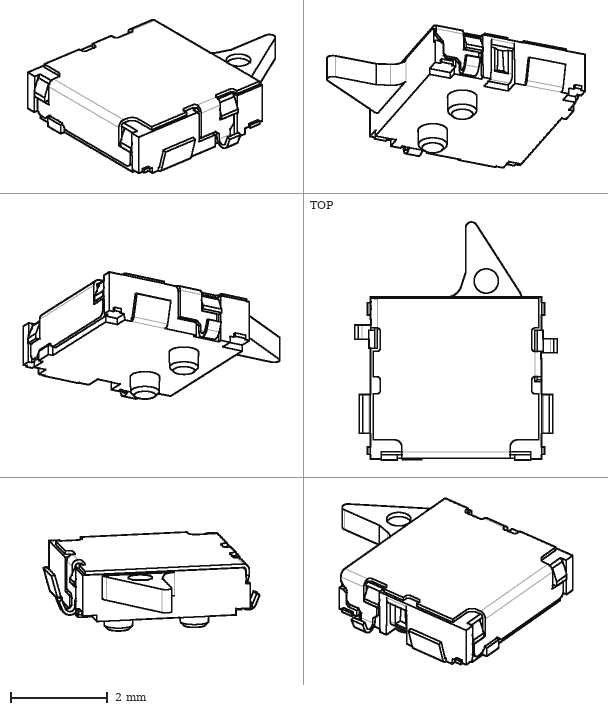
import cadquery as cq
import math


BODY_HALF_X = 1.77
BODY_Y = 3.35
BODY_Z = 0.995

RECESS_DEPTH = 0.09
RECESS_LEAD_DEPTH = 0.15
RECESS_LEAD_Z = 0.935
FRONT_RECESS_HALF_TOP = 1.545
FRONT_RECESS_HALF_BOTTOM = 1.565
LEFT_RECESS_Y0 = 2.295
RIGHT_RECESS_Y = (1.645, 2.665)
RIGHT_RECESS_LEAD_Y = 1.6
RECESS_LEDGE_Z = 0.28
RIGHT_LEDGE_Y = 2.075
BACK_BLOCK_Y = 3.16
BACK_BLOCK_TOP = 0.655
BACK_BLOCK_CHAMFER = (0.09, 0.055)
BACK_BLOCK_FOOT = (0.05, 0.06)

NOTCH_X = 0.3
NOTCH_Z = 0.135
FRONT_NOTCH_Y = 0.37
FRONT_NOTCH_DRAFT = 0.01
BACK_NOTCH_Y0 = 2.89

NUB_OUT = 0.06
NUB_HEIGHT = 0.075
NUB_SPANS = ((0.1, 0.25), (2.975, 3.23))

FRONT_PAD_X = (-1.105, -0.705)
FRONT_PAD_Z = 0.205
FRONT_PAD_OUT = 0.015

FRONT_BARB_OUT = 0.02
SIDE_BARB_OUT = 0.03
FRONT_BARB_X = (1.21, 1.545)
FRONT_BARB_Z = (0.53, 0.64)
LEFT_BARB_Y = (LEFT_RECESS_Y0, 2.665)
RIGHT_BARB_Y = (2.225, 2.665)
SIDE_BARB_Z = (0.605, 0.685)

WINDOW_Z = 0.81
WINDOW_LEAD_Z = 0.93
WINDOW_LEAD_DEPTH = 0.01
WINDOW_TOP_Y = (1.585, 2.09)
WINDOW_DRAFT = 0.015
WINDOW_DEPTH = 0.125
WINDOW_FOOT_DEPTH = 0.365
WINDOW_FOOT_Z = 0.14
WINDOW_ROUND = 0.145
POCKET_Y = (1.665, 1.975)
POCKET_FLOOR_Y = (1.74, 1.885)
POCKET_FLOOR_TOP_Y = (1.765, 1.87)
POCKET_Z = 0.265
POCKET_FLOOR_Z = 0.34
POCKET_DEPTH = 0.065

SHEET = 0.075
COVER_TOP = BODY_Z + SHEET
COVER_HALF_X = 1.71
COVER_Y = (0.4, 3.32)
BEND_RADIUS = 0.135
FLAP_INSET = RECESS_DEPTH - SHEET
FLAP_X = BODY_HALF_X - FLAP_INSET
FLAP_SHOULDER_Z = 0.5
SIDE_SHOULDER_Z = 0.575
SIDE_FLAP_BOTTOM = 0.34
CONTACT_SHOULDER_Z = 0.25
FRONT_FLAP_HALF_TOP = 1.115
FRONT_FLAP_HALF_BOTTOM = 1.475
FRONT_FLAP_BOTTOM = 0.135
FRONT_FLAP_ROUND = 0.12
PAD_CLEARANCE_Z = 0.25
PAD_CLEARANCE_FLARE = 0.12
COVER_CORNER_ROUND = 0.155
LEFT_FLAP_Y = (2.71, COVER_Y[1])
LEFT_FLAP_WIDE_Y = (2.37, 3.16)
LEFT_FLAP_SLOPE_Z = (0.66, 0.825)
LEFT_FLAP_CHAMFER = (0.065, 0.055)
CONTACT_FLARE = 0.095
RIGHT_FLAP_Y = (1.7, 2.225)
RIGHT_FLAP_WIDE_Y = 2.585
REAR_SCALLOP_Y = (2.225, 2.71)
MIDDLE_SCALLOP_Y = (1.35, 1.7)
SCALLOP_HALF_X = 1.565
SCALLOP_ROUND = 0.07

CURL_RADIUS = 0.1
CURL_Z = 0.14
CURL_LEAN = 22
CURL_LENGTH = 0.205
LEFT_CONTACT_Y = (2.475, 2.775)
RIGHT_CONTACT_Y = (2.195, 2.49)
TAB_RADIUS = 0.02
TAB_LEAN = 15.4
TAB_LENGTH = 0.49
TAB_Y = (0.53, 1.34)
TAB_BEND_X = 1.78
LEFT_SIDE, RIGHT_SIDE = -1, 1

LEVER_Z = (0.47, 0.965)
LEVER_ROOT_Y = 2.95
LEVER_ROOT_X = (-0.16, 1.36)
LEVER_HEEL_MIDDLE = (0.02, 3.435)
LEVER_HEEL_END = (0.11, 3.58)
LEVER_STRAIGHT_Y0 = 3.85
LEVER_TOE_MIDDLE = (1.34, 3.415)
LEVER_TIP = (0.32, 4.775)
LEVER_TIP_RADIUS = 0.125
LEVER_SLOPE_END = (1.305, 3.475)
LEVER_HOLE = (0.625, 3.68)
LEVER_HOLE_RADIUS = 0.25
LEVER_HOLE_DEPTH = 0.105

PEG_X = 0.8
PEG_Y = 2.345
PEG_TOP_RADIUS = 0.305
PEG_RADIUS = 0.295
PEG_END_RADIUS = 0.22
PEG_CHAMFER_Z = -0.325
PEG_BOTTOM = -0.405

MARGIN = 0.245


def block(x_span, y_span, z_span):
    """Axis-aligned box given by its X, Y and Z limits."""
    size = [abs(span[1] - span[0]) for span in (x_span, y_span, z_span)]
    low_corner = tuple(min(span) for span in (x_span, y_span, z_span))
    return cq.Workplane("XY").box(*size, centered=False).translate(low_corner)


def prism_along_x(yz_points, x_span):
    """Extrude a (Y, Z) outline between two X positions."""
    outline = cq.Workplane("YZ", origin=(x_span[0], 0, 0)).polyline(yz_points).close()
    return outline.extrude(x_span[1] - x_span[0])


def prism_along_y(xz_points, y_span):
    """Extrude an (X, Z) outline between two Y positions."""
    outline = cq.Workplane("XZ", origin=(0, y_span[0], 0)).polyline(xz_points).close()
    return outline.extrude(y_span[0] - y_span[1])


def mirrored_x(shape):
    """The shape together with its mirror image across X = 0."""
    return shape.union(shape.mirror("YZ"))


def lead_in(depth_axis):
    """Sloped lead-in along the top of a recess; depth_axis maps a depth to a coordinate."""
    return [
        (depth_axis(0), RECESS_LEAD_Z),
        (depth_axis(RECESS_DEPTH), RECESS_LEAD_Z),
        (depth_axis(RECESS_LEAD_DEPTH), BODY_Z),
        (depth_axis(0), BODY_Z),
    ]


def barb(depth_axis, out, z_span):
    """Wedge profile growing outwards from the recess floor down to a flat nose."""
    return [
        (depth_axis(RECESS_DEPTH), z_span[0]),
        (depth_axis(-out), z_span[0]),
        (depth_axis(-out), z_span[1]),
        (depth_axis(RECESS_DEPTH), RECESS_LEAD_Z),
    ]


def from_front(depth):
    return depth


def from_left(depth):
    return depth - BODY_HALF_X


def from_right(depth):
    return BODY_HALF_X - depth


def make_recesses():
    front_outline = [
        (-FRONT_RECESS_HALF_BOTTOM, 0),
        (FRONT_RECESS_HALF_BOTTOM, 0),
        (FRONT_RECESS_HALF_TOP, BODY_Z),
        (-FRONT_RECESS_HALF_TOP, BODY_Z),
    ]
    left_outline = [
        (LEFT_RECESS_Y0 - WINDOW_DRAFT, 0),
        (BACK_NOTCH_Y0, 0),
        (BACK_NOTCH_Y0, RECESS_LEDGE_Z),
        (BACK_BLOCK_Y - BACK_BLOCK_FOOT[0], RECESS_LEDGE_Z),
        (BACK_BLOCK_Y, RECESS_LEDGE_Z + BACK_BLOCK_FOOT[1]),
        (BACK_BLOCK_Y, BACK_BLOCK_TOP - BACK_BLOCK_CHAMFER[1]),
        (BACK_BLOCK_Y + BACK_BLOCK_CHAMFER[0], BACK_BLOCK_TOP),
        (BODY_Y, BACK_BLOCK_TOP),
        (BODY_Y, BODY_Z),
        (LEFT_RECESS_Y0, BODY_Z),
    ]
    recesses = prism_along_y(front_outline, (0, RECESS_DEPTH))
    front_span = (-FRONT_RECESS_HALF_TOP, FRONT_RECESS_HALF_TOP)
    recesses = recesses.union(prism_along_x(lead_in(from_front), front_span))
    recesses = recesses.union(prism_along_x(left_outline, (from_left(0), from_left(RECESS_DEPTH))))
    recesses = recesses.union(prism_along_y(lead_in(from_left), (LEFT_RECESS_Y0, BODY_Y)))
    right_outline = [
        (RIGHT_LEDGE_Y, 0),
        (RIGHT_RECESS_Y[1], 0),
        (RIGHT_RECESS_Y[1], BODY_Z),
        (RIGHT_RECESS_LEAD_Y, BODY_Z),
        (RIGHT_RECESS_Y[0], RECESS_LEAD_Z),
        (RIGHT_RECESS_Y[0], RECESS_LEDGE_Z),
        (RIGHT_LEDGE_Y, RECESS_LEDGE_Z),
    ]
    right_x = (from_right(RECESS_LEAD_DEPTH), from_right(0))
    right_section = prism_along_y(lead_in(from_right), (0, BODY_Y)).union(
        block((from_right(RECESS_DEPTH), from_right(0)), (0, BODY_Y), (0, RECESS_LEAD_Z))
    )
    return recesses.union(prism_along_x(right_outline, right_x).intersect(right_section))


def make_corner_notches():
    front_profile = [
        (-MARGIN, 0),
        (FRONT_NOTCH_Y, 0),
        (FRONT_NOTCH_Y - FRONT_NOTCH_DRAFT, NOTCH_Z),
        (-MARGIN, NOTCH_Z),
    ]
    x_span = (from_left(0), from_left(NOTCH_X))
    front = prism_along_x(front_profile, x_span)
    back = block(x_span, (BACK_NOTCH_Y0, BODY_Y), (0, NOTCH_Z))
    return mirrored_x(front.union(back))


def make_window():
    """Slot in the left wall, undercut at its foot, with a tapered pocket in its floor."""
    arc_middle = WINDOW_ROUND * (1 - math.sqrt(0.5))
    lead_middle = (from_left(WINDOW_LEAD_DEPTH / 4), (WINDOW_Z + WINDOW_LEAD_Z) / 2)
    slot = (
        cq.Workplane("XZ", origin=(0, BODY_Y, 0))
        .moveTo(from_left(0), 0)
        .lineTo(from_left(0), WINDOW_LEAD_Z)
        .threePointArc(lead_middle, (from_left(WINDOW_LEAD_DEPTH), WINDOW_Z))
        .lineTo(from_left(WINDOW_DEPTH), WINDOW_Z)
        .lineTo(from_left(WINDOW_DEPTH), WINDOW_FOOT_Z + WINDOW_ROUND)
        .threePointArc(
            (from_left(WINDOW_DEPTH + arc_middle), WINDOW_FOOT_Z + arc_middle),
            (from_left(WINDOW_DEPTH + WINDOW_ROUND), WINDOW_FOOT_Z),
        )
        .lineTo(from_left(WINDOW_FOOT_DEPTH), WINDOW_FOOT_Z)
        .lineTo(from_left(WINDOW_FOOT_DEPTH), 0)
        .close()
        .extrude(BODY_Y)
    )
    tapered_outline = [
        (WINDOW_TOP_Y[0] - WINDOW_DRAFT, 0),
        (WINDOW_TOP_Y[1] + WINDOW_DRAFT, 0),
        (WINDOW_TOP_Y[1], WINDOW_LEAD_Z),
        (WINDOW_TOP_Y[0], WINDOW_LEAD_Z),
    ]
    slot = slot.intersect(prism_along_x(tapered_outline, (from_left(0), from_left(WINDOW_FOOT_DEPTH))))

    def pocket_outline(bottom_y, bottom_z, top_y):
        return [(bottom_y[0], bottom_z), (bottom_y[1], bottom_z), (top_y[1], WINDOW_Z), (top_y[0], WINDOW_Z)]

    pocket = (
        cq.Workplane("YZ", origin=(from_left(WINDOW_DEPTH), 0, 0))
        .polyline(pocket_outline(POCKET_Y, POCKET_Z, POCKET_Y))
        .close()
        .workplane(offset=POCKET_DEPTH)
        .polyline(pocket_outline(POCKET_FLOOR_Y, POCKET_FLOOR_Z, POCKET_FLOOR_TOP_Y))
        .close()
        .loft(ruled=True)
    )
    return slot.union(pocket)


def make_barbs():
    front = mirrored_x(prism_along_x(barb(from_front, FRONT_BARB_OUT, FRONT_BARB_Z), FRONT_BARB_X))
    left = prism_along_y(barb(from_left, SIDE_BARB_OUT, SIDE_BARB_Z), LEFT_BARB_Y)
    right = prism_along_y(barb(from_right, SIDE_BARB_OUT, SIDE_BARB_Z), RIGHT_BARB_Y)
    return front.union(left).union(right)


def make_nubs():
    nubs = cq.Workplane("XY")
    for y_span in NUB_SPANS:
        x_span = (from_left(-NUB_OUT), from_left(RECESS_DEPTH))
        nubs = nubs.union(block(x_span, y_span, (NOTCH_Z, NOTCH_Z + NUB_HEIGHT)))
    return mirrored_x(nubs)


def make_body():
    body = block((-BODY_HALF_X, BODY_HALF_X), (0, BODY_Y), (0, BODY_Z))
    body = body.cut(make_recesses()).cut(make_corner_notches()).cut(make_window())
    front_pad = block(FRONT_PAD_X, (-FRONT_PAD_OUT, RECESS_DEPTH), (0, FRONT_PAD_Z))
    return body.union(make_barbs()).union(make_nubs()).union(front_pad)


def bent_sheet(plane, origin, depth_axis, length):
    """L-shaped sheet: flat top, rounded bend, straight wall down to Z = 0."""
    inner_radius = BEND_RADIUS - SHEET
    bend_z = COVER_TOP - BEND_RADIUS
    bend_depth = FLAP_INSET + BEND_RADIUS

    def on_bend(radius):
        reach = radius * math.sqrt(0.5)
        return (depth_axis(bend_depth - reach), bend_z + reach)

    profile = (
        cq.Workplane(plane, origin=origin)
        .moveTo(depth_axis(FLAP_INSET), 0)
        .lineTo(depth_axis(FLAP_INSET), bend_z)
        .threePointArc(on_bend(BEND_RADIUS), (depth_axis(bend_depth), COVER_TOP))
        .lineTo(depth_axis(bend_depth + MARGIN), COVER_TOP)
        .lineTo(depth_axis(bend_depth + MARGIN), BODY_Z)
        .lineTo(depth_axis(bend_depth), BODY_Z)
        .threePointArc(on_bend(inner_radius), (depth_axis(RECESS_DEPTH), bend_z))
        .lineTo(depth_axis(RECESS_DEPTH), 0)
        .close()
    )
    return profile.extrude(length)


def make_front_flap():
    half_top = FRONT_FLAP_HALF_TOP
    half_bottom = FRONT_FLAP_HALF_BOTTOM
    outline = mirrored_x(
        block((0, half_top), (-MARGIN, BODY_Y), (FRONT_FLAP_BOTTOM, COVER_TOP))
        .union(
            block((0, half_bottom), (-MARGIN, BODY_Y), (FRONT_FLAP_BOTTOM, FLAP_SHOULDER_Z))
            .edges("|Y and >X and <Z")
            .fillet(FRONT_FLAP_ROUND)
        )
    )
    clearance = [
        (FRONT_PAD_X[0] - PAD_CLEARANCE_FLARE, FRONT_FLAP_BOTTOM),
        (FRONT_PAD_X[0], PAD_CLEARANCE_Z),
        (FRONT_PAD_X[1], PAD_CLEARANCE_Z),
        (FRONT_PAD_X[1] + PAD_CLEARANCE_FLARE, FRONT_FLAP_BOTTOM),
    ]
    outline = outline.cut(prism_along_y(clearance, (-MARGIN, BODY_Y)))
    sheet = bent_sheet("YZ", (-half_bottom, 0, 0), from_front, 2 * half_bottom)
    return sheet.intersect(outline)


def make_left_flap():
    outline = [
        (LEFT_FLAP_Y[0], COVER_TOP),
        (LEFT_FLAP_Y[0], SIDE_SHOULDER_Z),
        (LEFT_FLAP_WIDE_Y[0], SIDE_SHOULDER_Z),
        (LEFT_FLAP_WIDE_Y[0], SIDE_FLAP_BOTTOM),
        (LEFT_CONTACT_Y[0], CONTACT_SHOULDER_Z),
        (LEFT_CONTACT_Y[0], CURL_Z),
        (LEFT_CONTACT_Y[1], CURL_Z),
        (LEFT_CONTACT_Y[1], CONTACT_SHOULDER_Z),
        (LEFT_CONTACT_Y[1] + CONTACT_FLARE, SIDE_FLAP_BOTTOM),
        (LEFT_FLAP_WIDE_Y[1] - LEFT_FLAP_CHAMFER[0], SIDE_FLAP_BOTTOM),
        (LEFT_FLAP_WIDE_Y[1], SIDE_FLAP_BOTTOM + LEFT_FLAP_CHAMFER[1]),
        (LEFT_FLAP_WIDE_Y[1], LEFT_FLAP_SLOPE_Z[0]),
        (LEFT_FLAP_Y[1], LEFT_FLAP_SLOPE_Z[1]),
        (LEFT_FLAP_Y[1], COVER_TOP),
    ]
    sheet = bent_sheet("XZ", (0, BODY_Y, 0), from_left, BODY_Y)
    return sheet.intersect(prism_along_x(outline, (-BODY_HALF_X, 0)))


def make_right_flap():
    outline = [
        (RIGHT_FLAP_Y[0], COVER_TOP),
        (RIGHT_FLAP_Y[1], COVER_TOP),
        (RIGHT_FLAP_Y[1], SIDE_SHOULDER_Z),
        (RIGHT_FLAP_WIDE_Y, SIDE_SHOULDER_Z),
        (RIGHT_FLAP_WIDE_Y, SIDE_FLAP_BOTTOM),
        (RIGHT_CONTACT_Y[1], CONTACT_SHOULDER_Z),
        (RIGHT_CONTACT_Y[1], CURL_Z),
        (RIGHT_CONTACT_Y[0], CURL_Z),
        (RIGHT_CONTACT_Y[0], CONTACT_SHOULDER_Z),
        (RIGHT_CONTACT_Y[0] - CONTACT_FLARE, SIDE_FLAP_BOTTOM),
        (RIGHT_FLAP_Y[0], SIDE_FLAP_BOTTOM),
    ]
    sheet = bent_sheet("XZ", (0, BODY_Y, 0), from_right, BODY_Y)
    return sheet.intersect(prism_along_x(outline, (0, BODY_HALF_X)))


def make_cover():
    cover = block((-COVER_HALF_X, COVER_HALF_X), (BEND_RADIUS + FLAP_INSET, COVER_Y[1]), (BODY_Z, COVER_TOP))
    cut_z = (BODY_Z - MARGIN, COVER_TOP + MARGIN)
    outer_x = COVER_HALF_X + MARGIN
    front_corner = block((FRONT_FLAP_HALF_TOP, outer_x), (-MARGIN, COVER_Y[0]), cut_z)
    cover = cover.cut(mirrored_x(front_corner.edges("|Z").fillet(COVER_CORNER_ROUND)))
    bend_x = FLAP_X - BEND_RADIUS
    cover = cover.cut(block((-outer_x, -bend_x), LEFT_FLAP_Y, cut_z))
    cover = cover.cut(block((bend_x, outer_x), RIGHT_FLAP_Y, cut_z))
    for flap in (make_front_flap(), make_left_flap(), make_right_flap()):
        cover = cover.union(flap)
    for y_span in (REAR_SCALLOP_Y, MIDDLE_SCALLOP_Y):
        scallop = block((SCALLOP_HALF_X, outer_x), y_span, cut_z).edges("|Z").fillet(SCALLOP_ROUND)
        cover = cover.cut(mirrored_x(scallop))
    return cover


def bent_strip(side, centre, inner_radius, start_angle, lean, length, y_span):
    """Sheet strip curling out from start_angle (degrees) into a straight end that leans outwards."""
    outer_radius = inner_radius + SHEET
    end_angle = -180 + lean
    slope = math.radians(lean)

    def polar(radius, angle):
        turn = math.radians(angle)
        return (side * (centre[0] - radius * math.cos(turn)), centre[1] + radius * math.sin(turn))

    def straight_end(radius):
        x, z = polar(radius, end_angle)
        return (x + side * length * math.sin(slope), z + length * math.cos(slope))

    middle_angle = (start_angle + end_angle) / 2
    return (
        cq.Workplane("XZ", origin=(0, y_span[1], 0))
        .moveTo(*polar(outer_radius, start_angle))
        .threePointArc(polar(outer_radius, middle_angle), polar(outer_radius, end_angle))
        .lineTo(*straight_end(outer_radius))
        .lineTo(*straight_end(inner_radius))
        .lineTo(*polar(inner_radius, end_angle))
        .threePointArc(polar(inner_radius, middle_angle), polar(inner_radius, start_angle))
        .close()
        .extrude(y_span[1] - y_span[0])
    )


def make_contacts():
    curl_centre = (FLAP_X + CURL_RADIUS, CURL_Z)
    tab_centre = (TAB_BEND_X, TAB_RADIUS + SHEET)
    contacts = cq.Workplane("XY")
    for side, contact_y in ((LEFT_SIDE, LEFT_CONTACT_Y), (RIGHT_SIDE, RIGHT_CONTACT_Y)):
        curl = bent_strip(side, curl_centre, CURL_RADIUS, 0, CURL_LEAN, CURL_LENGTH, contact_y)
        tab = bent_strip(side, tab_centre, TAB_RADIUS, -90, TAB_LEAN, TAB_LENGTH, TAB_Y)
        foot_x = (side * (BODY_HALF_X - RECESS_DEPTH), side * TAB_BEND_X)
        contacts = contacts.union(curl).union(tab).union(block(foot_x, TAB_Y, (0, SHEET)))
    return contacts


def make_lever():
    slope = (LEVER_SLOPE_END[0] - LEVER_TIP[0], LEVER_SLOPE_END[1] - LEVER_TIP[1])
    flank_angle = math.atan2(slope[1], slope[0]) + math.acos(LEVER_TIP_RADIUS / math.hypot(*slope))
    arc_angle = (math.pi + flank_angle) / 2

    def on_tip(angle):
        return (
            LEVER_TIP[0] + LEVER_TIP_RADIUS * math.cos(angle),
            LEVER_TIP[1] + LEVER_TIP_RADIUS * math.sin(angle),
        )

    lever = (
        cq.Workplane("XY", origin=(0, 0, LEVER_Z[0]))
        .moveTo(LEVER_ROOT_X[0], LEVER_ROOT_Y)
        .lineTo(LEVER_ROOT_X[0], BODY_Y)
        .threePointArc(LEVER_HEEL_MIDDLE, LEVER_HEEL_END)
        .lineTo(on_tip(math.pi)[0], LEVER_STRAIGHT_Y0)
        .lineTo(*on_tip(math.pi))
        .threePointArc(on_tip(arc_angle), on_tip(flank_angle))
        .lineTo(*LEVER_SLOPE_END)
        .threePointArc(LEVER_TOE_MIDDLE, (LEVER_ROOT_X[1], BODY_Y))
        .lineTo(LEVER_ROOT_X[1], LEVER_ROOT_Y)
        .close()
        .extrude(LEVER_Z[1] - LEVER_Z[0])
    )
    hole = (
        cq.Workplane("XY", origin=(0, 0, LEVER_Z[1] - LEVER_HOLE_DEPTH))
        .center(*LEVER_HOLE)
        .circle(LEVER_HOLE_RADIUS)
        .extrude(LEVER_HOLE_DEPTH)
    )
    return lever.cut(hole)


def make_pegs():
    profile = [
        (0, 0),
        (PEG_TOP_RADIUS, 0),
        (PEG_RADIUS, PEG_CHAMFER_Z),
        (PEG_END_RADIUS, PEG_BOTTOM),
        (0, PEG_BOTTOM),
    ]
    peg = cq.Workplane("XZ").polyline(profile).close().revolve(360, (0, 0), (0, 1))
    return mirrored_x(peg.translate((PEG_X, PEG_Y, 0)))


result = make_body()
for part in (make_cover(), make_contacts(), make_lever(), make_pegs()):
    result = result.union(part)